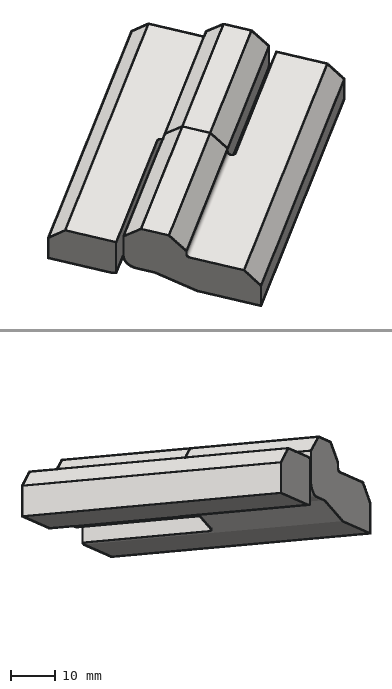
import cadquery as cq

hinge_width = 50.0
hinge_length = 64.5
hinge_height = 17.0

leaf_height = 11.0
edge_chamfer = 4.0

knuckle_width = 14.85
knuckle_bottom = 2.95
knuckle_chamfer_width = 4.1
corner_diameter = 6.2
root_fillet = 0.9

relief_half_width = 10.0

leaf_stagger = 0.5
side_clearance = 1.55
slot_fillet = 0.95

half_width = hinge_width / 2
half_length = hinge_length / 2
leaf_length = hinge_length - leaf_stagger
half_knuckle = knuckle_width / 2
half_top_flat = half_knuckle - knuckle_chamfer_width
chamfer_start = hinge_height - edge_chamfer
corner_radius = corner_diameter / 2
slot_half_width = half_knuckle + side_clearance


def leaf_with_full_knuckle():
    """Right leaf with its knuckle running over the whole leaf length."""
    profile = (
        cq.Workplane("XZ", origin=(0, half_length, 0))
        .moveTo(relief_half_width, 0)
        .lineTo(half_width, 0)
        .lineTo(half_width, leaf_height - edge_chamfer)
        .lineTo(half_width - edge_chamfer, leaf_height)
        .lineTo(half_knuckle + root_fillet, leaf_height)
        .radiusArc((half_knuckle, leaf_height + root_fillet), root_fillet)
        .lineTo(half_knuckle, chamfer_start)
        .lineTo(half_top_flat, hinge_height)
        .lineTo(-half_top_flat, hinge_height)
        .lineTo(-half_knuckle, chamfer_start)
        .lineTo(-half_knuckle, knuckle_bottom + corner_radius)
        .radiusArc((corner_radius - half_knuckle, knuckle_bottom), -corner_radius)
        .lineTo(0, knuckle_bottom)
        .close()
    )
    return profile.extrude(leaf_length)


def mating_knuckle_space():
    """Space in the rear half of the leaf for the knuckle of the other leaf."""
    return (
        cq.Workplane("XY")
        .center(0, half_length / 2)
        .rect(2 * slot_half_width, half_length)
        .extrude(hinge_height)
        .edges("|Z and >X and <Y")
        .fillet(slot_fillet)
    )


def hinge_leaf(turn_angle):
    """One leaf, turned about the vertical centre line of the hinge."""
    leaf = leaf_with_full_knuckle().cut(mating_knuckle_space())
    return leaf.rotate((0, 0, 0), (0, 0, 1), turn_angle)


leaves = [hinge_leaf(turn_angle).solids().val() for turn_angle in (0, 180)]

result = cq.Compound.makeCompound(leaves)